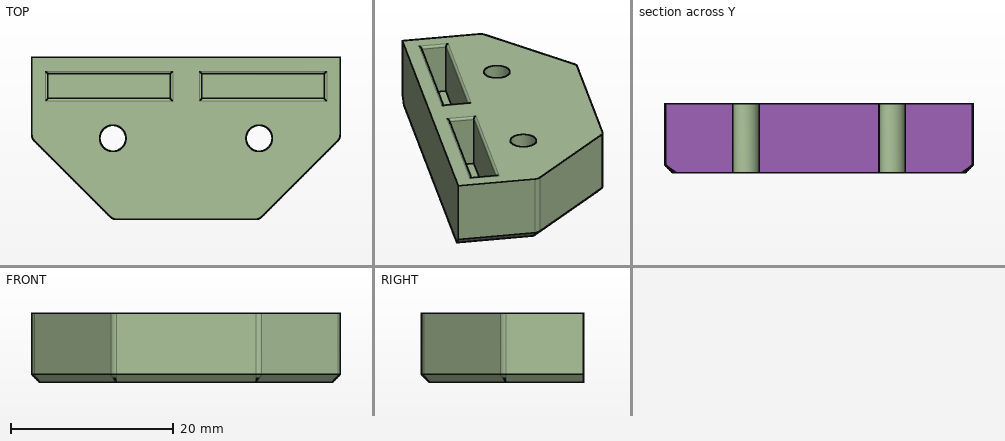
import cadquery as cq

length = 38.0
width = 20.0
height = 8.5
half_length = length / 2
back_y = width / 2
front_y = -width / 2

corner_cut = 10.0
corner_radius = 1.0
bottom_chamfer = 1.0

hole_diameter = 3.2
hole_inset = 10.0
hole_x = half_length - hole_inset
hole_y = back_y - hole_inset

pocket_length = 15.65
pocket_width = 3.65
pocket_depth = 6.5
rim_radius = 0.3
pocket_back_wall = 1.75
web_between_pockets = 3.3
pocket_x = (web_between_pockets + pocket_length) / 2
pocket_y = back_y - pocket_back_wall - pocket_width / 2


def make_body():
    """Block with two cut front corners and a chamfer below every side but the back."""
    outline = [
        (-half_length, back_y),
        (-half_length, front_y + corner_cut),
        (-half_length + corner_cut, front_y),
        (half_length - corner_cut, front_y),
        (half_length, front_y + corner_cut),
        (half_length, back_y),
    ]
    block = cq.Workplane("XY").polyline(outline).close().extrude(height)
    block = block.edges("|Z").edges("not >Y").fillet(corner_radius)
    return block.faces("<Z").edges("not >Y").chamfer(bottom_chamfer)


def cut_pocket(body, x):
    """Cut a rectangular pocket with a rounded rim, centred at x."""
    recess = (
        cq.Workplane("XY", origin=(x, pocket_y, height - pocket_depth))
        .rect(pocket_length - 2 * rim_radius, pocket_width - 2 * rim_radius)
        .extrude(pocket_depth)
    )
    rim_zone = cq.selectors.BoxSelector(
        (x - pocket_length / 2, pocket_y - pocket_width / 2, height - rim_radius / 2),
        (x + pocket_length / 2, pocket_y + pocket_width / 2, height + rim_radius / 2),
    )
    return body.cut(recess).edges(rim_zone).fillet(rim_radius)


def make_hole(x):
    """Cylinder that passes through the whole height at x."""
    return cq.Workplane("XY", origin=(x, hole_y, 0)).circle(hole_diameter / 2).extrude(height)


result = make_body()
for side in (-1, 1):
    result = cut_pocket(result, side * pocket_x)
    result = result.cut(make_hole(side * hole_x))